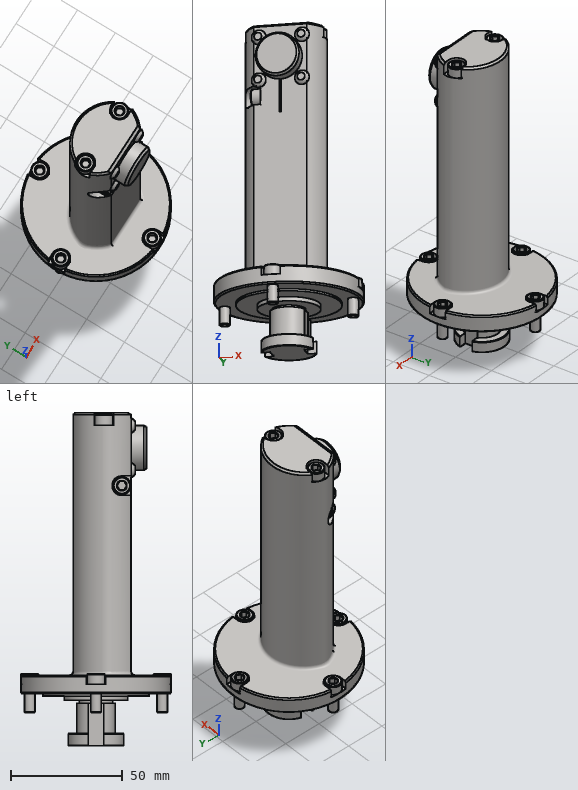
import cadquery as cq
import math

OVERALL_HEIGHT = 149.35
FLANGE_TOP = 8.5
SHAFT_BOTTOM = -23.2
BODY_TOP = OVERALL_HEIGHT + SHAFT_BOTTOM

FLANGE_DIAMETER = 67.44
FLANGE_CHAMFER = 0.7
PILOT_DIAMETER = 47.62
PILOT_BOTTOM = -0.95
HUB_DIAMETER = 28.57
HUB_BOTTOM = -2.9
NECK_DIAMETER = 15.06
NECK_BOTTOM = -4.1

SHAFT_DIAMETER = 17.46
DISC_DIAMETER = 25.0
DISC_TOP = -17.65
DISC_CHAMFER = 0.3
SLOT_WIDTH = 6.8
SLOT_FLOOR_X = 7.9

BODY_ARC_RADIUS = 19.5
FRONT_ARC_CENTRE_Y = -0.62
BODY_SIDE_FILLET = 6.2
BODY_FRONT_Y = -15.8
REAR_ARC_CENTRE_Y = -9.2
BODY_TOP_CHAMFER = 1.0
FRONT_BEVEL_LENGTH = 1.55
BODY_FOOT_FILLET = 1.59

HEAD_DIAMETER = 7.92
HEAD_HEIGHT = 4.83
HEAD_CHAMFER = 0.4
SHANK_DIAMETER = 4.83
SHANK_CHAMFER = 0.4
HEX_ACROSS_FLATS = 3.8
HEX_DEPTH = 3.2
SOCKET_MOUTH_DIAMETER = 4.6
SOCKET_MOUTH_DEPTH = 0.35
POCKET_WIDTH = 8.7

FLANGE_SCREW_CIRCLE_RADIUS = 29.72
FLANGE_POCKET_DEPTH = 4.2
FLANGE_SCREW_TIP = -8.3
FLANGE_SCREW_COUNT = 4

TOP_SCREW_X = 14.35
TOP_SCREW_Y = -3.5
TOP_POCKET_DEPTH = 5.6

SIDE_SCREW_Y = -11.6
SIDE_SCREW_Z = BODY_TOP - 32.75
SIDE_POCKET_FLOOR_X = -9.2

CONNECTOR_DIAMETER = 20.19
CONNECTOR_LENGTH = 6.95
CONNECTOR_CHAMFER_LENGTH = 0.9
CONNECTOR_CHAMFER_WIDTH = 1.3
CONNECTOR_Z = BODY_TOP - 15.8
BUTTON_DIAMETER = 6.66
BUTTON_HEIGHT = 1.8
BUTTON_TOP_DIAMETER = 3.5
BUTTON_PITCH = 20.0

SLIT_WIDTH = 0.8
SLIT_DEPTH = 2.0
SLIT_BOTTOM = BODY_TOP - 41.0

EDGE_TOLERANCE = 0.01


def disc(diameter, bottom, top):
    """Cylinder on the flange axis between two heights."""
    return cq.Workplane("XY").workplane(offset=bottom).circle(diameter / 2).extrude(top - bottom)


def make_flange():
    flange = disc(FLANGE_DIAMETER, 0, FLANGE_TOP).edges().chamfer(FLANGE_CHAMFER)
    flange = flange.union(disc(PILOT_DIAMETER, PILOT_BOTTOM, FLANGE_TOP / 2))
    return flange.union(disc(HUB_DIAMETER, HUB_BOTTOM, FLANGE_TOP / 2))


def make_shaft():
    shaft = disc(SHAFT_DIAMETER, SHAFT_BOTTOM, NECK_BOTTOM)
    end_disc = disc(DISC_DIAMETER, SHAFT_BOTTOM, DISC_TOP).edges().chamfer(DISC_CHAMFER)
    shaft = shaft.union(end_disc)
    slot_length = DISC_DIAMETER / 2
    for side in (-1, 1):
        slot = (
            cq.Workplane("XY")
            .workplane(offset=SHAFT_BOTTOM)
            .center(side * (SLOT_FLOOR_X + slot_length / 2), 0)
            .rect(slot_length, SLOT_WIDTH)
            .extrude(NECK_BOTTOM - SHAFT_BOTTOM)
        )
        shaft = shaft.cut(slot)
    return shaft.union(disc(NECK_DIAMETER, NECK_BOTTOM, HUB_BOTTOM))


def arc_half_width(y):
    """Distance from the plane of symmetry to the front arc at a given Y."""
    return math.sqrt(BODY_ARC_RADIUS**2 - (y - FRONT_ARC_CENTRE_Y) ** 2)


def make_body():
    side_y = (FRONT_ARC_CENTRE_Y + REAR_ARC_CENTRE_Y) / 2
    side_x = arc_half_width(side_y)
    front_half_width = arc_half_width(BODY_FRONT_Y)
    body = (
        cq.Workplane("XY")
        .workplane(offset=FLANGE_TOP)
        .moveTo(-front_half_width, BODY_FRONT_Y)
        .lineTo(front_half_width, BODY_FRONT_Y)
        .radiusArc((side_x, side_y), -BODY_ARC_RADIUS)
        .radiusArc((-side_x, side_y), -BODY_ARC_RADIUS)
        .radiusArc((-front_half_width, BODY_FRONT_Y), -BODY_ARC_RADIUS)
        .close()
        .extrude(BODY_TOP - FLANGE_TOP)
        .edges("|Z and (<X or >X)")
        .fillet(BODY_SIDE_FILLET)
        .faces(">Z")
        .chamfer(BODY_TOP_CHAMFER)
    )
    return body.cut(front_bevel())


def front_bevel():
    """Wedge that widens the chamfer along the top of the front face."""
    return (
        cq.Workplane("YZ")
        .moveTo(BODY_FRONT_Y, BODY_TOP - BODY_TOP_CHAMFER)
        .lineTo(BODY_FRONT_Y + FRONT_BEVEL_LENGTH, BODY_TOP)
        .lineTo(BODY_FRONT_Y, BODY_TOP)
        .close()
        .extrude(BODY_ARC_RADIUS, both=True)
    )


def is_body_foot(edge):
    """True for the edges where the body stands on the flange."""
    box = edge.BoundingBox()
    height_error = max(abs(box.zmin - FLANGE_TOP), abs(box.zmax - FLANGE_TOP))
    on_flange_top = height_error < EDGE_TOLERANCE
    return on_flange_top and box.xmax < FLANGE_DIAMETER / 2 - 2 * FLANGE_CHAMFER


def screw_head():
    """Hex socket head with its seat at the local origin, pointing along +Z."""
    hex_across_corners = HEX_ACROSS_FLATS / math.cos(math.pi / 6)
    mouth = cq.Solid.makeCone(
        HEX_ACROSS_FLATS / 2,
        SOCKET_MOUTH_DIAMETER / 2,
        SOCKET_MOUTH_DEPTH,
        cq.Vector(0, 0, HEAD_HEIGHT - SOCKET_MOUTH_DEPTH),
    )
    return (
        cq.Workplane("XY")
        .circle(HEAD_DIAMETER / 2)
        .extrude(HEAD_HEIGHT)
        .faces(">Z")
        .chamfer(HEAD_CHAMFER)
        .faces(">Z")
        .workplane()
        .polygon(6, hex_across_corners)
        .cutBlind(-HEX_DEPTH)
        .cut(cq.Workplane(mouth))
    )


def open_pocket(depth, reach):
    """Screw head pocket from the local origin up +Z, open along +X out to `reach`."""
    round_end = cq.Workplane("XY").circle(POCKET_WIDTH / 2).extrude(depth)
    opening = cq.Workplane("XY").center(reach / 2, 0).rect(reach, POCKET_WIDTH).extrude(depth)
    return round_end.union(opening)


def add_flange_screws(part):
    floor = FLANGE_TOP - FLANGE_POCKET_DEPTH
    shank = (
        cq.Workplane("XY")
        .workplane(offset=FLANGE_SCREW_TIP)
        .circle(SHANK_DIAMETER / 2)
        .extrude(floor - FLANGE_SCREW_TIP)
        .faces("<Z")
        .chamfer(SHANK_CHAMFER)
    )
    screw = screw_head().translate((0, 0, floor)).union(shank)
    pocket = open_pocket(2 * FLANGE_POCKET_DEPTH, POCKET_WIDTH).translate((0, 0, floor))
    for index in range(FLANGE_SCREW_COUNT):
        angle = index * 360 / FLANGE_SCREW_COUNT
        x = FLANGE_SCREW_CIRCLE_RADIUS * math.cos(math.radians(angle))
        y = FLANGE_SCREW_CIRCLE_RADIUS * math.sin(math.radians(angle))
        part = part.cut(pocket.rotate((0, 0, 0), (0, 0, 1), angle).translate((x, y, 0)))
        part = part.union(screw.translate((x, y, 0)))
    return part


def add_top_screws(part):
    floor = BODY_TOP - TOP_POCKET_DEPTH
    pocket = open_pocket(TOP_POCKET_DEPTH, POCKET_WIDTH)
    for facing, x in ((0, TOP_SCREW_X), (180, -TOP_SCREW_X)):
        seat = (x, TOP_SCREW_Y, floor)
        part = part.cut(pocket.rotate((0, 0, 0), (0, 0, 1), facing).translate(seat))
        part = part.union(screw_head().translate(seat))
    return part


def add_side_screw(part):
    """Clamping screw lying along X, in a pocket open to the -X side and the front."""
    seat = (SIDE_POCKET_FLOOR_X, SIDE_SCREW_Y, SIDE_SCREW_Z)
    pocket = open_pocket(BODY_ARC_RADIUS, POCKET_WIDTH).rotate((0, 0, 0), (0, 0, 1), -90)
    part = part.cut(pocket.rotate((0, 0, 0), (0, 1, 0), -90).translate(seat))
    head = screw_head().rotate((0, 0, 0), (0, 0, 1), 90).rotate((0, 0, 0), (0, 1, 0), -90)
    return part.union(head.translate(seat))


def cut_slit(part):
    height = CONNECTOR_Z - SLIT_BOTTOM
    slit = cq.Workplane("XY").box(SLIT_WIDTH, 2 * SLIT_DEPTH, height)
    return part.cut(slit.translate((0, BODY_FRONT_Y, SLIT_BOTTOM + height / 2)))


def button_head():
    """Domed head with a flat top, its seat at the local origin, pointing along +Z."""
    seat_radius = BUTTON_DIAMETER / 2
    top_radius = BUTTON_TOP_DIAMETER / 2
    centre_z = (top_radius**2 + BUTTON_HEIGHT**2 - seat_radius**2) / (2 * BUTTON_HEIGHT)
    dome_radius = math.hypot(seat_radius, centre_z)
    return (
        cq.Workplane("XZ")
        .lineTo(seat_radius, 0)
        .radiusArc((top_radius, BUTTON_HEIGHT), -dome_radius)
        .lineTo(0, BUTTON_HEIGHT)
        .close()
        .revolve(360, (0, 0, 0), (0, 1, 0))
    )


def add_connector(part):
    connector = (
        cq.Workplane("XY")
        .circle(CONNECTOR_DIAMETER / 2)
        .extrude(CONNECTOR_LENGTH)
        .faces(">Z")
        .chamfer(CONNECTOR_CHAMFER_WIDTH, CONNECTOR_CHAMFER_LENGTH)
        .union(cq.Workplane("XY").circle(CONNECTOR_DIAMETER / 2).extrude(-SLIT_DEPTH))
    )
    for x in (-BUTTON_PITCH / 2, BUTTON_PITCH / 2):
        for y in (-BUTTON_PITCH / 2, BUTTON_PITCH / 2):
            connector = connector.union(button_head().translate((x, y, 0)))
    facing_front = connector.rotate((0, 0, 0), (1, 0, 0), 90)
    return part.union(facing_front.translate((0, BODY_FRONT_Y, CONNECTOR_Z)))


result = make_flange().union(make_body())
result = result.newObject(result.edges().filter(is_body_foot).vals()).fillet(BODY_FOOT_FILLET)
result = result.union(make_shaft())
result = add_flange_screws(result)
result = add_top_screws(result)
result = add_side_screw(result)
result = cut_slit(result)
result = add_connector(result)